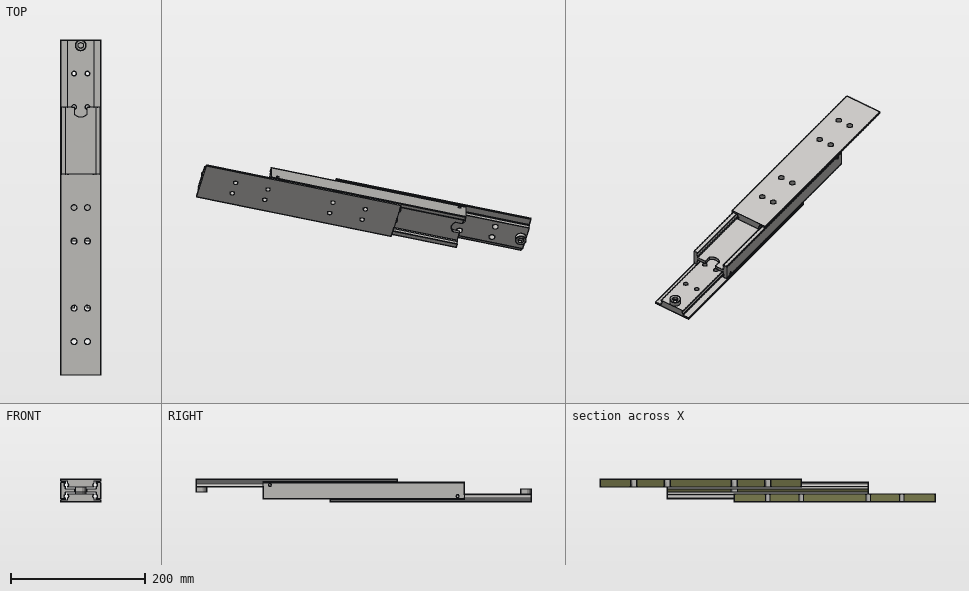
import cadquery as cq

SLIDE_LENGTH = 500.0
RAIL_LENGTH = 300.0
SLIDE_WIDTH = 60.0
SLIDE_HEIGHT = 34.0

PLATE_THICKNESS = 3.0
BLOCK_WIDTH = 40.0
BLOCK_FACE_Z = 5.0
RAIL_HOLE_SPACING = 20.0
RAIL_HOLE_ROWS = [0.0, 50.0, 150.0, 200.0]
UPPER_HOLE_DIAMETER = 8.5
LOWER_HOLE_DIAMETER = 6.5

PIN_DIAMETER = 16.0
PIN_END_Z = 2.5
PIN_CHAMFER = 0.5
HEXAGON_SIDES = 6
PIN_SOCKET_CORNERS = 9.0
PIN_SOCKET_DEPTH = 5.0

GROOVE_Z = 8.5
GROOVE_HEIGHT = 5.5
GROOVE_DEPTH = 1.75

CARRIAGE_HEIGHT = 25.0
CARRIAGE_INNER_WIDTH = 46.0
WEB_THICKNESS = 5.0
CARRIAGE_CHAMFER = 1.0
NOTCH_WIDTH = 18.0
NOTCH_STRAIGHT_DEPTH = 11.0
NOTCH_DEPTH = 15.0
ACCESS_HOLE_Y = -50.0
ACCESS_HOLE_DIAMETER = 9.0
SIDE_HOLE_DIAMETER = 4.0
SIDE_HOLE_FROM_END = 10.0

RAIL_END_Y = SLIDE_LENGTH / 2
RAIL_CENTER_Y = RAIL_END_Y - RAIL_LENGTH / 2
CARRIAGE_END_Y = RAIL_LENGTH / 2
PLATE_FACE_Z = SLIDE_HEIGHT / 2 - PLATE_THICKNESS


def groove_cutter(x_base, x_tip, z, length, y_center):
    """Bar along Y with a flat side at x_base and a round side that bulges out to x_tip."""
    profile = cq.Workplane("XZ", origin=(0, y_center, 0)).moveTo(x_base, z - GROOVE_HEIGHT / 2)
    profile = profile.threePointArc((x_tip, z), (x_base, z + GROOVE_HEIGHT / 2)).close()
    return profile.extrude(length / 2, both=True)


def make_rail(hole_diameter):
    """Rail in the lower position, plate down, with its stop pin at the +Y end."""
    plate = cq.Workplane("XY").box(SLIDE_WIDTH, RAIL_LENGTH, PLATE_THICKNESS, centered=(True, True, False))
    plate = plate.translate((0, RAIL_CENTER_Y, -SLIDE_HEIGHT / 2))
    block_height = PLATE_FACE_Z - BLOCK_FACE_Z
    block = cq.Workplane("XY").box(BLOCK_WIDTH, RAIL_LENGTH, block_height, centered=(True, True, False))
    rail = plate.union(block.translate((0, RAIL_CENTER_Y, -PLATE_FACE_Z)))

    for side in (-1, 1):
        x_side = side * BLOCK_WIDTH / 2
        x_bottom = x_side - side * GROOVE_DEPTH
        rail = rail.cut(groove_cutter(x_side, x_bottom, -GROOVE_Z, RAIL_LENGTH, RAIL_CENTER_Y))

    hole_points = [(side * RAIL_HOLE_SPACING / 2, y) for y in RAIL_HOLE_ROWS for side in (-1, 1)]
    holes = cq.Workplane("XY", origin=(0, 0, -SLIDE_HEIGHT / 2)).pushPoints(hole_points)
    rail = rail.cut(holes.circle(hole_diameter / 2).extrude(PLATE_THICKNESS + block_height))

    pin_y = RAIL_END_Y - PIN_DIAMETER / 2
    pin = cq.Workplane("XY", origin=(0, pin_y, -BLOCK_FACE_Z)).circle(PIN_DIAMETER / 2)
    pin = pin.extrude(BLOCK_FACE_Z + PIN_END_Z).faces(">Z").chamfer(PIN_CHAMFER)
    socket = cq.Workplane("XY", origin=(0, pin_y, PIN_END_Z)).transformed(rotate=(0, 0, 90))
    socket = socket.polygon(HEXAGON_SIDES, PIN_SOCKET_CORNERS).extrude(-PIN_SOCKET_DEPTH)
    return rail.union(pin.cut(socket))


def make_carriage():
    """H-shaped carriage centred on the origin."""
    carriage = cq.Workplane("XY").box(SLIDE_WIDTH, RAIL_LENGTH, CARRIAGE_HEIGHT)
    carriage = carriage.edges("|Y").chamfer(CARRIAGE_CHAMFER)

    channel_depth = (CARRIAGE_HEIGHT - WEB_THICKNESS) / 2
    channel_center_z = (CARRIAGE_HEIGHT + WEB_THICKNESS) / 4
    channel = cq.Workplane("XY").box(CARRIAGE_INNER_WIDTH, RAIL_LENGTH, channel_depth)
    for level in (-1, 1):
        carriage = carriage.cut(channel.translate((0, 0, level * channel_center_z)))
        for side in (-1, 1):
            x_wall = side * CARRIAGE_INNER_WIDTH / 2
            x_bottom = x_wall + side * GROOVE_DEPTH
            carriage = carriage.cut(groove_cutter(x_wall, x_bottom, level * GROOVE_Z, RAIL_LENGTH, 0))

    half_notch = NOTCH_WIDTH / 2
    for end in (-1, 1):
        notch = cq.Workplane("XY").moveTo(-half_notch, end * CARRIAGE_END_Y)
        notch = notch.lineTo(-half_notch, end * (CARRIAGE_END_Y - NOTCH_STRAIGHT_DEPTH))
        notch = notch.threePointArc(
            (0, end * (CARRIAGE_END_Y - NOTCH_DEPTH)),
            (half_notch, end * (CARRIAGE_END_Y - NOTCH_STRAIGHT_DEPTH)),
        )
        notch = notch.lineTo(half_notch, end * CARRIAGE_END_Y).close()
        carriage = carriage.cut(notch.extrude(WEB_THICKNESS, both=True))

    access_points = [(side * RAIL_HOLE_SPACING / 2, ACCESS_HOLE_Y) for side in (-1, 1)]
    access_holes = cq.Workplane("XY").pushPoints(access_points).circle(ACCESS_HOLE_DIAMETER / 2)
    carriage = carriage.cut(access_holes.extrude(WEB_THICKNESS, both=True))

    side_hole_y = CARRIAGE_END_Y - SIDE_HOLE_FROM_END
    side_points = [(side_hole_y, -GROOVE_Z), (-side_hole_y, GROOVE_Z)]
    side_holes = cq.Workplane("YZ").pushPoints(side_points).circle(SIDE_HOLE_DIAMETER / 2)
    return carriage.cut(side_holes.extrude(SLIDE_WIDTH / 2, both=True))


lower_rail = make_rail(LOWER_HOLE_DIAMETER)
upper_rail = make_rail(UPPER_HOLE_DIAMETER).rotate((0, 0, 0), (1, 0, 0), 180)
carriage = make_carriage()

result = cq.Compound.makeCompound([lower_rail.val(), upper_rail.val(), carriage.val()])